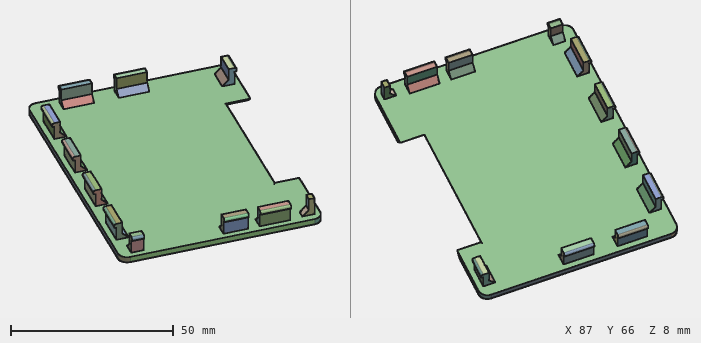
import cadquery as cq
import math

length = 87.0
width = 66.0
plate_thickness = 2.0
corner_radius = 3.0

notch_start = 19.8
notch_length = 44.8
notch_depth = 8.0
notch_flare_angle = 45.0

total_height = 8.0
edge_gap = 2.0
post_thickness = 1.9
ramp_height = 2.0
ramp_reach = 2.1
lip_radius = 0.8

long_clip = 10.0
medium_clip = 8.0
back_clip = 7.05
short_clip = 4.0
corner_post = 2.5

front_clip_start = 10.0
front_clip_count = 4
front_clip_pitch = (length - 2 * front_clip_start - long_clip) / (front_clip_count - 1)
left_clip_start = 10.0
left_clip_pitch = 18.0
left_clip_count = 2
right_clips = [(4.0, short_clip), (34.1, medium_clip), (45.9, long_clip)]
back_clip_start = 3.8
corner_post_start = length - 5.05


def base_plate():
    plate = cq.Workplane("XY").box(length, width, plate_thickness, centered=False)
    plate = plate.edges("|Z").fillet(corner_radius)
    flare = plate_thickness * math.tan(math.radians(notch_flare_angle))
    bottom_length = notch_length + 2 * flare
    bottom_depth = 2 * (notch_depth + flare)
    notch = (
        cq.Workplane("XY")
        .center(notch_start + notch_length / 2, width)
        .rect(bottom_length, bottom_depth)
        .extrude(plate_thickness, taper=notch_flare_angle)
    )
    return plate.cut(notch)


def left_edge_clip(start, clip_length, has_lip=True):
    """Post on the left edge: a ramp braces its inner face and a round lip tops its outer face."""
    outer = edge_gap
    inner = edge_gap + post_thickness
    outline = (
        cq.Workplane("XZ")
        .moveTo(outer, 0)
        .lineTo(inner + ramp_reach, 0)
        .lineTo(inner + ramp_reach, plate_thickness)
        .lineTo(inner, plate_thickness + ramp_height)
        .lineTo(inner, total_height)
        .lineTo(outer, total_height)
    )
    if has_lip:
        outline = outline.threePointArc(
            (outer - lip_radius, total_height - lip_radius),
            (outer, total_height - 2 * lip_radius),
        )
    return outline.close().extrude(-clip_length).translate((0, start, 0))


def right_edge_clip(start, clip_length):
    return left_edge_clip(start, clip_length).mirror("YZ").translate((length, 0, 0))


def front_edge_clip(start, clip_length, has_lip=True):
    clip = left_edge_clip(-start - clip_length, clip_length, has_lip)
    return clip.rotate((0, 0, 0), (0, 0, 1), 90)


def back_edge_clip(start, clip_length, has_lip=True):
    return front_edge_clip(start, clip_length, has_lip).mirror("XZ").translate((0, width, 0))


result = base_plate()

for i in range(front_clip_count):
    result = result.union(front_edge_clip(front_clip_start + i * front_clip_pitch, long_clip))

for i in range(left_clip_count):
    result = result.union(left_edge_clip(left_clip_start + i * left_clip_pitch, long_clip))

for start, clip_length in right_clips:
    result = result.union(right_edge_clip(start, clip_length))

result = result.union(back_edge_clip(back_clip_start, back_clip))
result = result.union(back_edge_clip(corner_post_start, corner_post, has_lip=False))